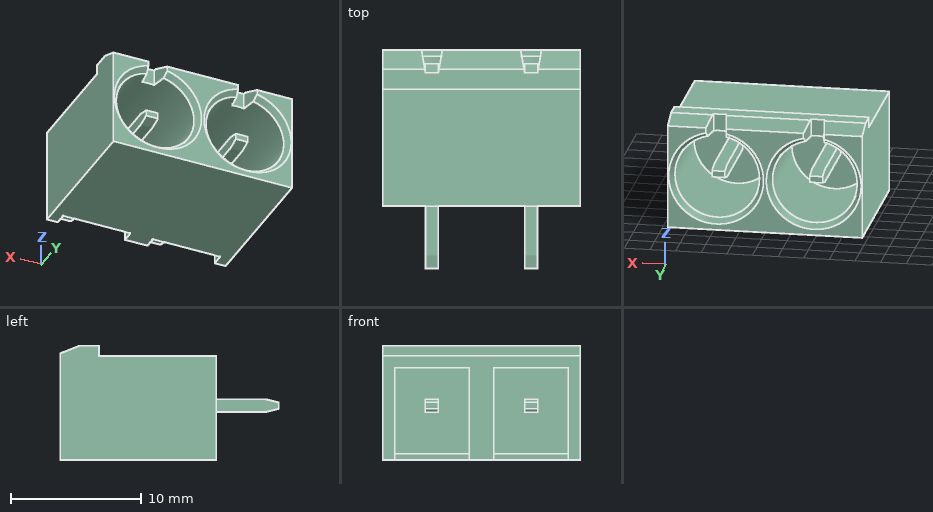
import cadquery as cq

pitch = 7.62
housing_width = 15.18
housing_depth = 12.0
roof_height = 8.0
pin_x_positions = (-pitch / 2, pitch / 2)

ridge_rise = 0.8
ridge_depth = 3.0
ridge_slope_length = 1.5
ridge_slope_drop = 0.6
ridge_top = roof_height + ridge_rise

pin_size = 1.0
pin_height = 4.18
pin_protrusion = 4.8
pin_tip_length = 1.0
pin_tip_thickness = 0.5
pin_rear_setback = 1.05

recess_width = 5.7
recess_top = 7.1
recess_depth = 0.5
step_height = 0.5
step_depth = 1.0

cavity_radius = 3.3
cavity_depth = 9.0
lead_in_depth = 0.5
lead_in_width = 0.4

keyway_length = 1.75
keyway_rear_width = 1.6
keyway_inner_width = 1.0


def make_housing():
    """Side profile of the housing and its ridge, extruded across the width."""
    profile = [
        (0, 0),
        (housing_depth, 0),
        (housing_depth, ridge_top - ridge_slope_drop),
        (housing_depth - ridge_slope_length, ridge_top),
        (housing_depth - ridge_depth, ridge_top),
        (housing_depth - ridge_depth, roof_height),
        (0, roof_height),
    ]
    return cq.Workplane("YZ").polyline(profile).close().extrude(housing_width / 2, both=True)


def make_recess(x):
    """Shallow recess in the pin-side face plus the deeper step along the base."""
    shallow = cq.Workplane("XY").box(recess_width, recess_depth, recess_top, centered=(True, False, False))
    step = cq.Workplane("XY").box(recess_width, step_depth, step_height, centered=(True, False, False))
    return shallow.union(step).translate((x, 0, 0))


def make_cavity(x):
    """Blind round cavity with a conical mouth, revolved about the pin axis."""
    half_profile = [
        (0, housing_depth - cavity_depth),
        (cavity_radius, housing_depth - cavity_depth),
        (cavity_radius, housing_depth - lead_in_depth),
        (cavity_radius + lead_in_width, housing_depth),
        (0, housing_depth),
    ]
    bore = cq.Workplane("XY").polyline(half_profile).close().revolve(360, (0, 0, 0), (0, 1, 0))
    return bore.translate((x, 0, pin_height))


def make_keyway(x):
    """Tapered slot running from the cavity axis up through the ridge."""
    inner_y = housing_depth - keyway_length
    outline = [
        (x - keyway_rear_width / 2, housing_depth),
        (x + keyway_rear_width / 2, housing_depth),
        (x + keyway_inner_width / 2, inner_y),
        (x - keyway_inner_width / 2, inner_y),
    ]
    slot = cq.Workplane("XY").workplane(offset=pin_height).polyline(outline).close()
    return slot.extrude(ridge_top - pin_height)


def make_pin(x):
    """Straight pin along Y, its tips narrowing in Z."""
    front = -pin_protrusion
    rear = housing_depth - pin_rear_setback
    tip = pin_tip_thickness / 2
    body = pin_size / 2
    profile = [
        (front, -tip),
        (front + pin_tip_length, -body),
        (rear - pin_tip_length, -body),
        (rear, -tip),
        (rear, tip),
        (rear - pin_tip_length, body),
        (front + pin_tip_length, body),
        (front, tip),
    ]
    pin = cq.Workplane("YZ").polyline(profile).close().extrude(pin_size / 2, both=True)
    return pin.translate((x, 0, pin_height))


result = make_housing()
for pin_x in pin_x_positions:
    result = result.cut(make_recess(pin_x))
    result = result.cut(make_cavity(pin_x))
    result = result.cut(make_keyway(pin_x))
    result = result.union(make_pin(pin_x))